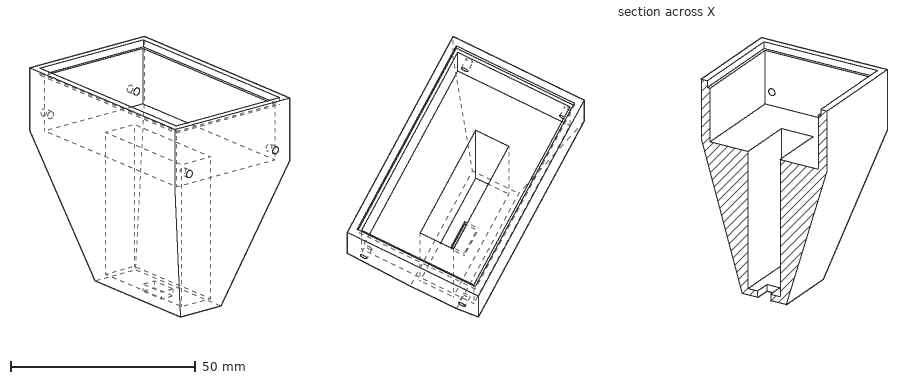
import cadquery as cq

length = 63.0
width = 40.0
total_height = 61.0
box_height = 18.0
funnel_height = total_height - box_height

foot_length = 37.05
foot_width = 14.1
axis_x = -0.75

wall = 2.9
lid_wall = 2.0
lid_depth = 2.0
cavity_depth = box_height

slot_wall = 2.0
slot_length = foot_length - 2 * slot_wall
slot_width = foot_width - 2 * slot_wall
slot_floor = slot_wall
outlet_length = 8.05
outlet_width = 4.05

hole_diameter = 2.0
hole_spacing = 30.0
hole_drop = 14.0


def block(size_x, size_y, bottom, top, center_x=0):
    """Upright block between two heights, centred on Y = 0."""
    return (
        cq.Workplane("XY", origin=(center_x, 0, bottom))
        .rect(size_x, size_y)
        .extrude(top - bottom)
    )


def funnel():
    """Tapered body from the off-centre foot up to the full box outline."""
    return (
        cq.Workplane("XY")
        .center(axis_x, 0)
        .rect(foot_length, foot_width)
        .workplane(offset=funnel_height)
        .center(-axis_x, 0)
        .rect(length, width)
        .loft(ruled=True)
    )


def cross_holes():
    """Pair of parallel holes running the whole length in X."""
    return (
        cq.Workplane("YZ", origin=(0, 0, total_height - hole_drop))
        .pushPoints([(-hole_spacing / 2, 0), (hole_spacing / 2, 0)])
        .circle(hole_diameter / 2)
        .extrude(length / 2, both=True)
    )


cavity_floor = total_height - cavity_depth
body = funnel().union(block(length, width, funnel_height, total_height))

cavity = block(length - 2 * wall, width - 2 * wall, cavity_floor, total_height)
lid_seat = block(
    length - 2 * lid_wall, width - 2 * lid_wall, total_height - lid_depth, total_height
)
slot = block(slot_length, slot_width, slot_floor, cavity_floor, axis_x)
outlet = block(outlet_length, outlet_width, 0, slot_floor, axis_x)

result = body.cut(cavity).cut(lid_seat).cut(slot).cut(outlet).cut(cross_holes())